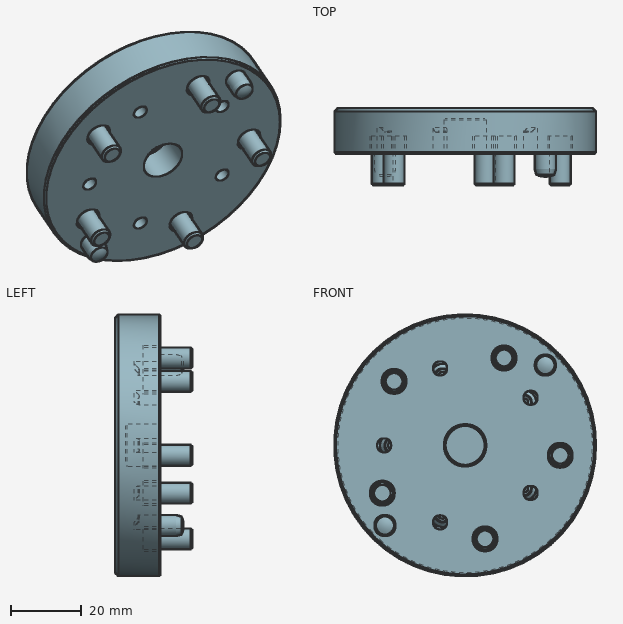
import cadquery as cq
import math

DISC_DIAMETER = 74.0
DISC_THICKNESS = 12.95
FRONT_CHAMFER = 0.5
BACK_CHAMFER = 1.0

BORE_DIAMETER = 12.0
BORE_DEPTH = 10.0
BORE_FLOOR_DIAMETER = 11.0

PIN_COUNT = 5
PIN_DIAMETER = 6.0
PIN_TIP_DIAMETER = 4.7
PIN_TIP_LENGTH = 0.7
PIN_HEIGHT = 9.0
PIN_CIRCLE_RADIUS = 27.0
PIN_FIRST_ANGLE = 66.0
PIN_POCKET_DIAMETER = 7.0
PIN_POCKET_DEPTH = 5.0

LOCATOR_DIAMETER = 6.0
LOCATOR_TIP_DIAMETER = 5.2
LOCATOR_ROOT_DEPTH = 5.0
LOCATOR_STRAIGHT_HEIGHT = 4.45
LOCATOR_SHOULDER_HEIGHT = 5.85
LOCATOR_HEIGHT = 6.5
LOCATOR_CIRCLE_RADIUS = 32.05
LOCATOR_ANGLES = (45.0, 225.0)

HOLE_COUNT = 5
HOLE_DIAMETER = 4.0
HOLE_DEPTH = 7.5
HOLE_CIRCLE_RADIUS = 22.9
HOLE_FIRST_ANGLE = 36.0
SCREW_DIAMETER = 6.95
SCREW_CREST_DIAMETER = 4.4
SCREW_LIP_DIAMETER = 4.0
SCREW_CUP_DIAMETER = 2.4
SCREW_CUP_DEPTH = 0.2
SCREW_LIP_RISE = 0.2
SCREW_CIRCLE_RADIUS = 20.6
SCREW_CREST_DEPTH = HOLE_DEPTH - (SCREW_DIAMETER - SCREW_CREST_DIAMETER) / 2


def around(count, first_angle):
    """Return equally spaced angles in degrees."""
    return [first_angle + index * 360 / count for index in range(count)]


def at_polar(shape, radius, angle):
    """Move a shape from the disc axis to a polar place on the front face."""
    x = radius * math.cos(math.radians(angle))
    z = radius * math.sin(math.radians(angle))
    return shape.translate((x, 0, z))


def turned(profile):
    """Revolve a closed (radius, y) profile around the Y axis."""
    return profile.close().revolve(360, (0, 0, 0), (0, 1, 0))


def cylinder(diameter, start, end):
    """Make a cylinder along Y between two y positions."""
    return turned(cq.Workplane("XY").moveTo(0, start).lineTo(diameter / 2, start)
                  .lineTo(diameter / 2, end).lineTo(0, end))


def make_disc():
    disc = cylinder(DISC_DIAMETER, 0, DISC_THICKNESS)
    disc = disc.faces("<Y").edges().chamfer(FRONT_CHAMFER)
    return disc.faces(">Y").edges().chamfer(BACK_CHAMFER)


def make_bore():
    """Bore whose floor meets the wall in a chamfer."""
    bore = cylinder(BORE_DIAMETER, 0, BORE_DEPTH)
    return bore.faces(">Y").edges().chamfer((BORE_DIAMETER - BORE_FLOOR_DIAMETER) / 2)


def make_pin():
    """Drive pin from its pocket floor to a bevelled tip."""
    radius = PIN_DIAMETER / 2
    tip_radius = PIN_TIP_DIAMETER / 2
    return turned(cq.Workplane("XY").moveTo(0, PIN_POCKET_DEPTH).lineTo(radius, PIN_POCKET_DEPTH)
                  .lineTo(radius, PIN_TIP_LENGTH - PIN_HEIGHT).lineTo(tip_radius, -PIN_HEIGHT)
                  .lineTo(0, -PIN_HEIGHT))


def make_locator():
    """Locating pin with a tapered shoulder under a spherical end."""
    radius = LOCATOR_DIAMETER / 2
    tip_radius = LOCATOR_TIP_DIAMETER / 2
    dome_rise = LOCATOR_HEIGHT - LOCATOR_SHOULDER_HEIGHT
    dome_radius = (tip_radius ** 2 + dome_rise ** 2) / (2 * dome_rise)
    middle_x = tip_radius / 2
    middle_y = dome_radius - LOCATOR_HEIGHT - math.sqrt(dome_radius ** 2 - middle_x ** 2)
    return turned(cq.Workplane("XY").moveTo(0, LOCATOR_ROOT_DEPTH).lineTo(radius, LOCATOR_ROOT_DEPTH)
                  .lineTo(radius, -LOCATOR_STRAIGHT_HEIGHT).lineTo(tip_radius, -LOCATOR_SHOULDER_HEIGHT)
                  .threePointArc((middle_x, middle_y), (0, -LOCATOR_HEIGHT)))


def make_screw_point():
    """Screw end with a bevelled outside and a flat cup inside a ledge and a rounded lip."""
    crest_radius = SCREW_CREST_DIAMETER / 2
    lip_radius = SCREW_LIP_DIAMETER / 2
    cup_radius = SCREW_CUP_DIAMETER / 2
    cup_depth = SCREW_CREST_DEPTH + SCREW_CUP_DEPTH
    lip_top = ((lip_radius + cup_radius) / 2, SCREW_CREST_DEPTH - SCREW_LIP_RISE)
    return turned(cq.Workplane("XY").moveTo(0, HOLE_DEPTH).lineTo(SCREW_DIAMETER / 2, HOLE_DEPTH)
                  .lineTo(crest_radius, SCREW_CREST_DEPTH)
                  .lineTo(lip_radius, SCREW_CREST_DEPTH)
                  .threePointArc(lip_top, (cup_radius, cup_depth))
                  .lineTo(0, cup_depth))


def make_hole(angle):
    """Hole volume that leaves the screw point standing on its floor."""
    hole = at_polar(cylinder(HOLE_DIAMETER, 0, HOLE_DEPTH), HOLE_CIRCLE_RADIUS, angle)
    return hole.cut(at_polar(make_screw_point(), SCREW_CIRCLE_RADIUS, angle))


result = make_disc().cut(make_bore())

for pin_angle in around(PIN_COUNT, PIN_FIRST_ANGLE):
    pocket = cylinder(PIN_POCKET_DIAMETER, 0, PIN_POCKET_DEPTH).cut(make_pin())
    result = result.cut(at_polar(pocket, PIN_CIRCLE_RADIUS, pin_angle))
    result = result.union(at_polar(make_pin(), PIN_CIRCLE_RADIUS, pin_angle))

for locator_angle in LOCATOR_ANGLES:
    result = result.union(at_polar(make_locator(), LOCATOR_CIRCLE_RADIUS, locator_angle))

for hole_angle in around(HOLE_COUNT, HOLE_FIRST_ANGLE):
    result = result.cut(make_hole(hole_angle))